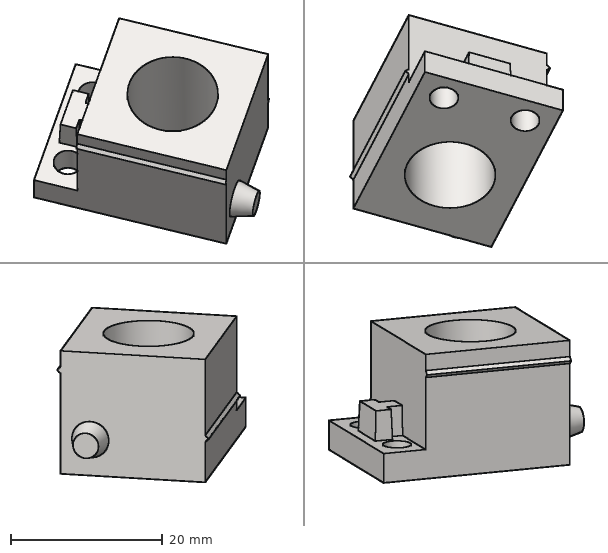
import cadquery as cq
import math

total_length = 29.5
flange_length = 6.0
peg_length = 2.95
block_length = total_length - flange_length - peg_length
block_end = flange_length + block_length
ridge_depth = 0.47
total_width = 20.5
body_width = total_width - 2 * ridge_depth
body_height = 17.0
flange_height = 4.0

bore_diameter = 12.0
flange_hole_diameter = 3.8
flange_hole_x = 3.5
flange_hole_spacing = 11.5

key_start = 1.5
key_bar_length = 2.45
key_bar_width = 6.08
key_stem_width = 3.1
key_height = 4.07
key_draft = 2.0
key_overlap = 0.6

peg_y = -flange_hole_spacing / 2
peg_z = 5.0
peg_root_diameter = 5.0
peg_tip_diameter = 3.45

front_ridge_z = 14.3
back_ridge_z = 6.02


def make_body():
    """Block and flange as one stepped profile, with their vertical holes."""
    body = (
        cq.Workplane("XZ")
        .polyline([
            (0, 0),
            (block_end, 0),
            (block_end, body_height),
            (flange_length, body_height),
            (flange_length, flange_height),
            (0, flange_height),
        ])
        .close()
        .extrude(body_width / 2, both=True)
    )
    bore_x = flange_length + block_length / 2
    bore = cq.Workplane("XY").center(bore_x, 0).circle(bore_diameter / 2).extrude(body_height)
    flange_holes = (
        cq.Workplane("XY")
        .center(flange_hole_x, 0)
        .rarray(0.3, flange_hole_spacing, 1, 2)
        .circle(flange_hole_diameter / 2)
        .extrude(flange_height)
    )
    return body.cut(bore).cut(flange_holes)


def make_key():
    """Drafted T-shaped key whose stem runs into the block."""
    bar_end = key_start + key_bar_length
    stem_end = flange_length + key_overlap
    bar_half = key_bar_width / 2
    stem_half = key_stem_width / 2
    return (
        cq.Workplane("XY")
        .workplane(offset=flange_height)
        .polyline([
            (key_start, -bar_half),
            (bar_end, -bar_half),
            (bar_end, -stem_half),
            (stem_end, -stem_half),
            (stem_end, stem_half),
            (bar_end, stem_half),
            (bar_end, bar_half),
            (key_start, bar_half),
        ])
        .close()
        .extrude(key_height, taper=key_draft)
    )


def make_peg():
    """Conical peg narrowing away from the block."""
    taper = math.degrees(math.atan((peg_root_diameter - peg_tip_diameter) / 2 / peg_length))
    return (
        cq.Workplane("YZ", origin=(block_end, peg_y, peg_z))
        .circle(peg_root_diameter / 2)
        .extrude(peg_length, taper=taper)
    )


def make_ridge(side, height):
    """Right-angled ridge on one side of the block: side is -1 (front) or 1 (back)."""
    face_y = side * body_width / 2
    root_y = face_y - side * ridge_depth
    return (
        cq.Workplane("YZ", origin=(flange_length, 0, height))
        .polyline([
            (root_y, -ridge_depth),
            (face_y, -ridge_depth),
            (face_y + side * ridge_depth, 0),
            (face_y, ridge_depth),
            (root_y, ridge_depth),
        ])
        .close()
        .extrude(block_length)
    )


result = (
    make_body()
    .union(make_key())
    .union(make_peg())
    .union(make_ridge(-1, front_ridge_z))
    .union(make_ridge(1, back_ridge_z))
)